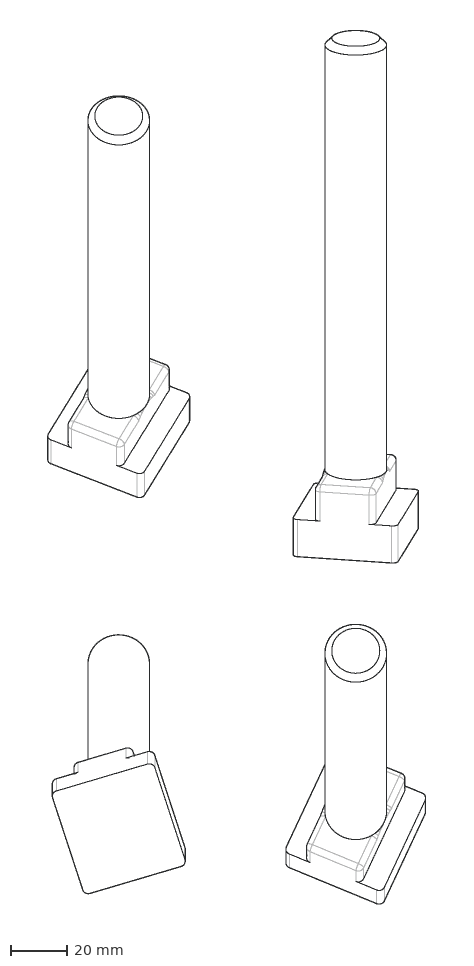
import cadquery as cq
import math

total_height = 189.0
base_width = 38.0
length = 40.0
base_height = 14.0
neck_top = 27.0
rod_diameter = 22.0
edge_radius = 2.0
tip_chamfer = 2.5

rod_radius = rod_diameter / 2
neck_width = rod_diameter

runout_half_length = math.sqrt(rod_radius**2 - (rod_radius - edge_radius) ** 2)
runout_fractions = (1.0, 0.8, 0.6, 0.4, 0.2)


def rounded_block(width, height):
    """Block standing on Z = 0 with rounded vertical corners."""
    block = cq.Workplane("XY").box(width, length, height, centered=(True, True, False))
    return block.edges("|Z").fillet(edge_radius)


def runout_section(y):
    """Corner waste of a rounding whose radius equals the gap between rod and neck side at y."""
    gap = rod_radius - math.sqrt(rod_radius**2 - y**2)
    inset = gap * (1 - math.sqrt(0.5))
    return (
        cq.Workplane("XZ", origin=(0, y, 0))
        .moveTo(rod_radius, neck_top)
        .lineTo(rod_radius, neck_top - gap)
        .threePointArc((rod_radius - inset, neck_top - inset), (rod_radius - gap, neck_top))
        .close()
        .val()
    )


def make_neck():
    """Neck with rounded top edges that run out where the rod reaches the sides."""
    neck = rounded_block(neck_width, neck_top).faces(">Z").edges().fillet(edge_radius)
    sharp_middle = cq.Workplane("XY").box(
        neck_width, 2 * runout_half_length, neck_top, centered=(True, True, False)
    )
    neck = neck.union(sharp_middle)
    sections = [runout_section(fraction * runout_half_length) for fraction in runout_fractions]
    runout = cq.Workplane("XY").newObject([cq.Solid.makeLoft(sections, True)])
    runout_pair = runout.union(runout.mirror("XZ"))
    return neck.cut(runout_pair).cut(runout_pair.mirror("YZ"))


def make_rod():
    """Plain rod standing on the neck, with a chamfered tip."""
    rod = cq.Workplane("XY", origin=(0, 0, neck_top)).circle(rod_radius)
    return rod.extrude(total_height - neck_top).faces(">Z").chamfer(tip_chamfer)


base = rounded_block(base_width, base_height)
result = base.union(make_neck()).union(make_rod())